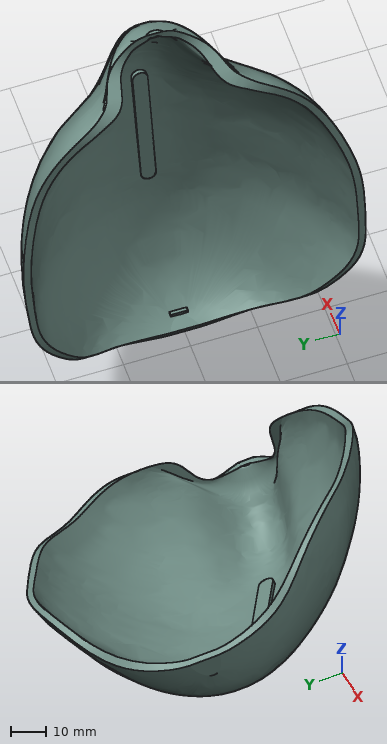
import cadquery as cq
import math

height = 112.4
half_width = 50.8
wall = 2.0
cavity_rear = 0.9
back_x = -6.7

nose_width = 13.5
cheek_power = 1.35
nose_bluntness = 3.0
points_per_side = 10

sections = [
    (0.0, 13.5, 4.7, 19.7, 0.0),
    (1.1, 13.1, 11.2, 23.4, 0.0),
    (3.4, 12.1, 18.2, 28.1, 0.0),
    (9.0, 7.8, 28.9, 34.8, 0.0),
    (19.1, 2.0, 38.4, 41.9, 0.0),
    (31.5, 0.0, 46.6, 46.6, 0.0),
    (44.9, 1.7, 50.3, 49.8, 0.0),
    (53.9, 3.7, half_width, 51.8, 0.0),
    (65.2, 6.4, 50.2, 54.3, 1.7),
    (76.4, 11.8, 47.1, 56.4, 6.7),
    (88.8, 16.3, 40.7, 55.7, 11.2),
    (97.7, 18.3, 32.6, 53.1, 14.6),
    (102.2, 22.0, 23.0, 50.8, 14.6),
    (103.9, 28.4, 18.0, 49.7, 12.4),
    (105.6, 34.2, 14.3, 48.3, 7.9),
    (109.0, 38.9, 8.7, 45.7, 2.8),
    (111.2, 39.2, 5.3, 42.7, 0.6),
    (height, 39.5, 2.6, 40.9, 0.0),
]

rim_points = [
    (13.5, 0.0), (12.8, 2.2), (6.6, 11.2), (3.3, 17.1), (1.1, 23.8), (0.0, 31.5), (1.1, 40.8),
    (4.0, 52.6), (7.9, 67.9), (15.5, 83.5), (18.0, 94.9), (19.3, 98.9), (21.8, 101.7),
    (31.1, 104.3), (37.9, 106.7), (39.5, 109.3), (39.8, height),
]

strip_width = 4.5
strip_bottom, strip_top = 33.5, 74.6
strip_bottom_x, strip_top_x = 44.5, 52.8
strip_depth = 2.2

tab_x = 18.5
tab_thickness = 1.1
tab_width = 5.2
tab_top = 3.1
tab_base = 1.1


def section_wire(z, rim_x, half_y, front_x, bulge, crest_width):
    """Level section: a curved front from side to side, closed by straight sides and back."""
    cheek_depth = front_x - bulge - rim_x
    front = []
    for i in range(-points_per_side, points_per_side + 1):
        angle = math.pi / 2 * i / points_per_side
        y = half_y * math.sin(angle)
        cheek = cheek_depth * abs(math.cos(angle)) ** cheek_power
        nose = bulge * math.exp(-((abs(y) / crest_width) ** nose_bluntness))
        front.append(cq.Vector(rim_x + cheek + nose, y, z))
    right_back = cq.Vector(back_x, -half_y, z)
    left_back = cq.Vector(back_x, half_y, z)
    return cq.Wire.assembleEdges([
        cq.Edge.makeSpline(front),
        cq.Edge.makeLine(front[-1], left_back),
        cq.Edge.makeLine(left_back, right_back),
        cq.Edge.makeLine(right_back, front[0]),
    ])


def cup(thickness):
    """Solid cup lying the given thickness inside the outer surface."""
    width_ratio = 1 - thickness / half_width
    height_ratio = 1 - 2 * thickness / height
    wires = []
    for z, rim_x, half_y, front_x, bulge in sections:
        setback = min(thickness, (front_x - rim_x) / 2)
        wires.append(section_wire(
            thickness + z * height_ratio, max(rim_x - setback, cavity_rear), half_y * width_ratio,
            front_x - setback, bulge, nose_width - thickness))
    return cq.Workplane(cq.Solid.makeLoft(wires))


def rim_trim():
    """Everything behind the rim curve."""
    margin = 11.2
    return (
        cq.Workplane("XZ")
        .moveTo(*rim_points[0])
        .spline(rim_points[1:], includeCurrent=True)
        .lineTo(rim_points[-1][0], height + margin)
        .lineTo(back_x - margin, height + margin)
        .lineTo(back_x - margin, -margin)
        .lineTo(rim_points[0][0], -margin)
        .close()
        .extrude(half_width + margin, both=True)
    )


def front_strip():
    """Round-ended strip, parallel to the sloping front and sunk into the wall."""
    rise = strip_top - strip_bottom
    run = strip_top_x - strip_bottom_x
    middle = ((strip_bottom_x + strip_top_x) / 2, 0, (strip_bottom + strip_top) / 2)
    plane = cq.Plane(origin=middle, xDir=(run, 0, rise), normal=(rise, 0, -run))
    return cq.Workplane(plane).slot2D(math.hypot(run, rise), strip_width).extrude(strip_depth)


def chin_tab():
    return cq.Workplane("XY").box(
        tab_thickness, tab_width, tab_top - tab_base, centered=(True, True, False)
    ).translate((tab_x, 0, tab_base))


shell = cup(0).cut(cup(wall)).cut(rim_trim())
result = shell.union(front_strip()).union(chin_tab())